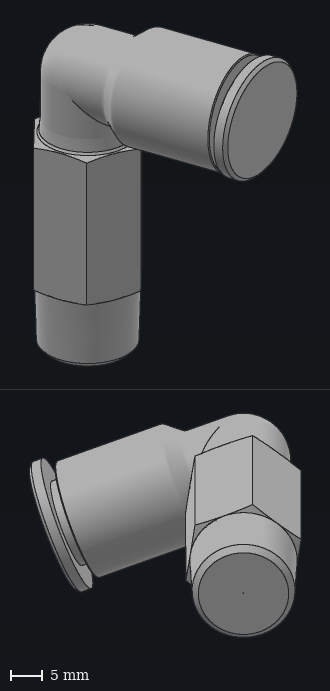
import cadquery as cq
import math


total_height = 59.0
total_length = 42.0
ring_half_height = 9.85
elbow_z = total_height - ring_half_height
elbow_radius = 7.5

thread_length = 12.0
thread_chamfer = 1.0
thread_tip_radius = 8.15
thread_taper = 1 / 32
thread_top_radius = thread_tip_radius + thread_taper * (thread_length - thread_chamfer)

hex_flats = 17.0
hex_corner_radius = hex_flats / math.sqrt(3)
hex_top_z = 38.25
hex_corner_drop = 0.4

collar_top_z = 40.8
collar_lip_z = 38.65
collar_lip_radius = 7.7
collar_foot_radius = 8.0

sleeve_radius = 19.65 / 2
shoulder_start_x = 7.3
shoulder_end_x = 10.3
shoulder_blend_radius = 1.0
sleeve_end_x = 28.2
sleeve_edge_chamfer = 0.2

neck_radius = 7.1
ring_start_x = 30.0
ring_end_x = total_length - hex_corner_radius
ring_half_width = 22.5 / 2
ring_chamfer = 0.6


def turned_about_z(outline):
    """Solid of revolution about Z from (radius, z) points, closed along the axis."""
    points = [(0, outline[0][1])] + outline + [(0, outline[-1][1])]
    return cq.Workplane("XZ").polyline(points).close().revolve(360, (0, 0), (0, 1))


def rod_along_x(radius, start_x, end_x):
    """Cylinder on the sleeve axis."""
    return cq.Workplane("YZ", origin=(start_x, 0, elbow_z)).circle(radius).extrude(end_x - start_x)


def make_thread():
    """Tapered thread envelope with a chamfered tip."""
    return turned_about_z([
        (thread_tip_radius - thread_chamfer, 0),
        (thread_tip_radius, thread_chamfer),
        (thread_top_radius, thread_length),
    ])


def make_hexagon():
    """Wrench hexagon with bevelled corners at both ends."""
    prism = (
        cq.Workplane("XY", origin=(0, 0, thread_length))
        .polygon(6, 2 * hex_corner_radius)
        .extrude(hex_top_z - thread_length)
    )
    bevels = turned_about_z([
        (hex_flats / 2, thread_length),
        (hex_corner_radius, thread_length + hex_corner_drop),
        (hex_corner_radius, hex_top_z - hex_corner_drop),
        (hex_flats / 2, hex_top_z),
    ])
    return prism.intersect(bevels)


def make_collar():
    """Slightly flared collar on top of the hexagon."""
    return turned_about_z([
        (collar_foot_radius, hex_top_z),
        (collar_lip_radius, collar_lip_z),
        (elbow_radius, collar_top_z),
    ])


def make_elbow():
    """Two equal cylinders that meet at a mitre, closed on the outside by a quarter ball."""
    stem = (
        cq.Workplane("XY", origin=(0, 0, collar_top_z))
        .circle(elbow_radius)
        .extrude(elbow_z - collar_top_z)
    )
    quarter_ball = (
        cq.Workplane("XY", origin=(0, 0, elbow_z))
        .moveTo(0, -elbow_radius)
        .threePointArc((-elbow_radius, 0), (0, elbow_radius))
        .close()
        .revolve(90, (0, -0.6), (0, 0.6))
    )
    return stem.union(rod_along_x(elbow_radius, 0, shoulder_start_x)).union(quarter_ball)


def make_sleeve():
    """Tube sleeve with a conical shoulder that blends into the elbow."""
    start_x = shoulder_start_x - shoulder_blend_radius
    sleeve = (
        cq.Workplane("XZ", origin=(0, 0, elbow_z))
        .moveTo(start_x, 0)
        .lineTo(start_x, elbow_radius)
        .lineTo(shoulder_start_x, elbow_radius)
        .lineTo(shoulder_end_x, sleeve_radius)
        .lineTo(sleeve_end_x, sleeve_radius)
        .lineTo(sleeve_end_x, 0)
        .close()
        .revolve(360, (0, 0), (1, 0))
    )
    shoulder_edges = sleeve.edges("%CIRCLE and (not <X) and (not >X)")
    return shoulder_edges.fillet(shoulder_blend_radius).faces(">X").chamfer(sleeve_edge_chamfer)


def make_ring():
    """Oval release ring on a round neck."""
    neck = rod_along_x(neck_radius, sleeve_end_x, ring_start_x)
    ring = (
        cq.Workplane("YZ", origin=(ring_start_x, 0, elbow_z))
        .ellipse(ring_half_width, ring_half_height)
        .extrude(ring_end_x - ring_start_x)
        .faces(">X")
        .chamfer(ring_chamfer)
    )
    return neck.union(ring)


result = make_thread()
for section in (make_hexagon(), make_collar(), make_elbow(), make_sleeve(), make_ring()):
    result = result.union(section)